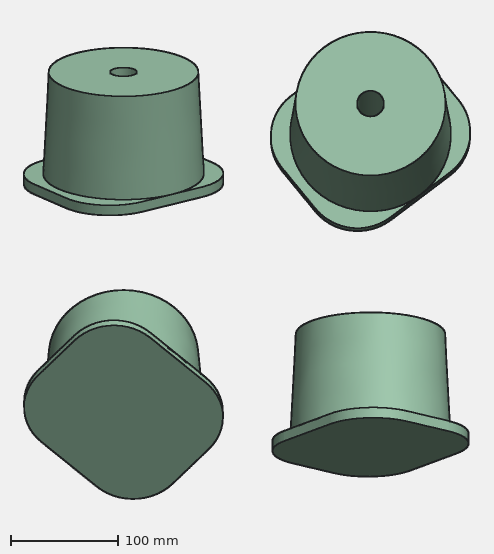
import cadquery as cq

plate_width = 150.0
plate_length = 170.0
plate_thickness = 10.0
corner_radius = 50.0

total_height = 110.0
body_height = total_height - plate_thickness
body_foot_diameter = plate_width
body_top_diameter = 139.5

bore_diameter = 25.0
bore_depth = body_height


def make_plate():
    """Flat plate with rounded vertical corners, resting on Z = 0."""
    plate = cq.Workplane("XY").box(
        plate_width, plate_length, plate_thickness, centered=(True, True, False)
    )
    return plate.edges("|Z").fillet(corner_radius)


def make_body():
    """Truncated cone standing on the plate."""
    cone = cq.Solid.makeCone(
        body_foot_diameter / 2,
        body_top_diameter / 2,
        body_height,
        pnt=cq.Vector(0, 0, plate_thickness),
    )
    return cq.Workplane("XY").add(cone)


def make_bore():
    """Cylinder removed from the top of the body."""
    return (
        cq.Workplane("XY")
        .workplane(offset=total_height - bore_depth)
        .circle(bore_diameter / 2)
        .extrude(bore_depth)
    )


result = make_plate().union(make_body()).cut(make_bore())